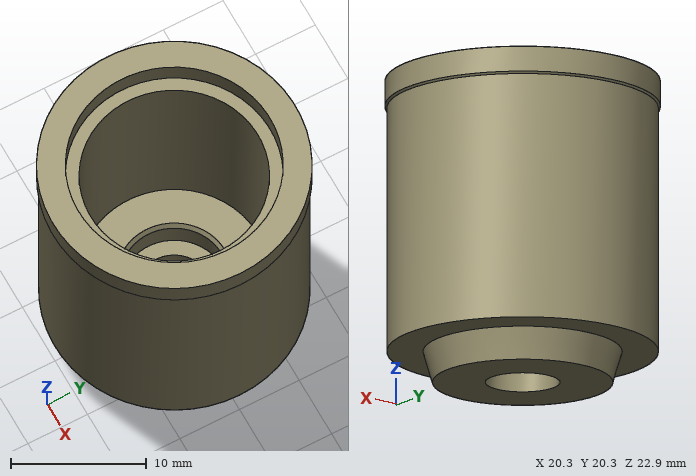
import cadquery as cq

total_height = 22.9
nose_height = 2.34
nose_tip_diameter = 13.28
nose_base_diameter = 14.65
body_diameter = 20.0
flange_diameter = 20.3
flange_height = 1.9
flange_step = (flange_diameter - body_diameter) / 2

recess_diameter = 16.03
recess_depth = 1.8
main_bore_diameter = 14.01
floor_height = 4.58
seat_mouth_diameter = 8.5
seat_diameter = 7.92
seat_height = 2.3
through_diameter = 5.5
seat_chamfer = (seat_mouth_diameter - seat_diameter) / 2


def cylinder(diameter, bottom, top):
    """Solid cylinder on the Z axis between two heights."""
    return cq.Workplane("XY").workplane(offset=bottom).circle(diameter / 2).extrude(top - bottom)


def cone(bottom_diameter, top_diameter, bottom, top):
    """Solid truncated cone on the Z axis between two heights."""
    return (
        cq.Workplane("XY")
        .workplane(offset=bottom)
        .circle(bottom_diameter / 2)
        .workplane(offset=top - bottom)
        .circle(top_diameter / 2)
        .loft(ruled=True)
    )


def outer_shape():
    """Tapered nose, cylindrical body and flange with a bevelled underside."""
    flange_bottom = total_height - flange_height
    nose = cone(nose_tip_diameter, nose_base_diameter, 0, nose_height)
    body = cylinder(body_diameter, nose_height, total_height)
    bevel = cone(body_diameter, flange_diameter, flange_bottom - flange_step, flange_bottom)
    flange = cylinder(flange_diameter, flange_bottom, total_height)
    return nose.union(body).union(bevel).union(flange)


def stepped_bore():
    """Top recess, main bore, chamfered seat and through hole."""
    recess = cylinder(recess_diameter, total_height - recess_depth, total_height)
    main_bore = cylinder(main_bore_diameter, floor_height, total_height)
    seat = cylinder(seat_diameter, seat_height, floor_height)
    seat_mouth = cone(seat_diameter, seat_mouth_diameter, floor_height - seat_chamfer, floor_height)
    through_hole = cylinder(through_diameter, 0, total_height)
    return recess.union(main_bore).union(seat).union(seat_mouth).union(through_hole)


result = outer_shape().cut(stepped_bore())